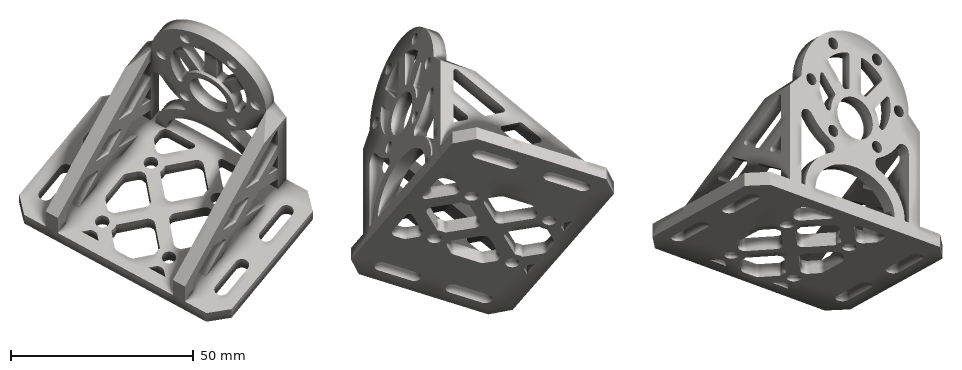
import cadquery as cq
import math

width = 70.0
depth = 50.0
height = 56.0
thickness = 4.0

corner_chamfer = 5.0
slot_width = 4.0
slot_length = 14.0
slot_x = 29.0
slot_y = 11.0
base_hole_diameter = 4.0
base_hole_x = 11.0
base_hole_front_y = -15.0
base_hole_spacing_y = 24.0
base_boss_radius = 4.0
base_window_half_width = 15.0
base_corner_radius = 2.0
base_tip_radius = 1.0

flange_radius = 19.0
bolt_circle_radius = 15.5
bolt_hole_diameter = 3.5
bolt_count = 6
shaft_drop = 7.0
shaft_hole_diameter = 12.5
hub_radius = 8.5
ring_inner_radius = 12.5
ring_rim_radius = 18.55
spoke_angle = 40.0
spoke_recess = 1.0
spoke_corner_radius = 0.7
crescent_tip_radius = 1.0
arch_half_width = 14.0
arch_rise = 11.0
arch_rib = 3.6
flange_corner_radius = 2.0

wall_front_height = 11.0
wall_lattice_z = 10.0
wall_corner_radius = 1.0

back_y = depth / 2
front_y = -back_y
flange_front_y = back_y - thickness
window_front_y = front_y + thickness
base_hole_back_y = base_hole_front_y + base_hole_spacing_y
wall_inner_x = flange_radius
wall_outer_x = wall_inner_x + thickness
flange_z = height - flange_radius
shaft_z = flange_z - shaft_drop
wall_slope = (flange_z - wall_front_height) / (depth - thickness)
wall_angle = math.atan(wall_slope)

near = 0.1


def lattice_bar(plane, center, angle):
    """Long bar of the common thickness through a point, tilted in the plane."""
    return (
        cq.Workplane(plane)
        .center(*center)
        .transformed(rotate=(0, 0, angle))
        .rect(4 * width, thickness)
        .extrude(width, both=True)
    )


def round_corners(body, direction, radius, wanted):
    """Fillet the edges along a direction whose midpoint passes the test."""
    edges = body.edges(direction)
    chosen = [edge for edge in edges.vals() if wanted(edge.Center())]
    if not chosen:
        return body
    return edges.newObject(chosen).fillet(radius)


def base_holes(radius):
    hole_ys = (base_hole_front_y, base_hole_back_y)
    centers = [(x, y) for x in (-base_hole_x, base_hole_x) for y in hole_ys]
    return cq.Workplane("XY").pushPoints(centers).circle(radius).extrude(thickness)


def is_base_tip(point):
    """Acute corner of a rear opening, next to the flange."""
    return point.y > flange_front_y - near and abs(point.x) < base_hole_x / 2


def is_base_round(point):
    """Any other corner, except the sharp ones of the small front triangles."""
    at_triangle = point.y < window_front_y + near and abs(point.x) > base_hole_x / 2
    return not at_triangle and not is_base_tip(point)


def base_openings():
    """Openings between diagonal bars that run through the holes and cross at X = 0."""
    window = cq.Workplane("XY").box(
        2 * base_window_half_width, 2 * flange_front_y, thickness, centered=(True, True, False)
    )
    crossing_y = (base_hole_front_y + base_hole_back_y) / 2
    bar_angle = math.degrees(math.atan2(base_hole_spacing_y / 2, base_hole_x))
    for row in (-1, 0, 1):
        crossing = (0, crossing_y + row * base_hole_spacing_y)
        for angle in (-bar_angle, bar_angle):
            window = window.cut(lattice_bar("XY", crossing, angle))

    openings = cq.Workplane("XY")
    for cell in window.solids().vals():
        if cell.BoundingBox().xlen < thickness:
            continue
        opening = cq.Workplane(obj=cell)
        opening = round_corners(opening, "|Z", base_corner_radius, is_base_round)
        opening = round_corners(opening, "|Z", base_tip_radius, is_base_tip)
        openings = openings.add(opening)
    return openings.combine().cut(base_holes(base_boss_radius))


def make_base():
    plate = cq.Workplane("XY").box(width, depth, thickness, centered=(True, True, False))
    plate = plate.edges("|Z").chamfer(corner_chamfer)
    slots = (
        cq.Workplane("XY")
        .rarray(2 * slot_x, 2 * slot_y, 2, 2)
        .slot2D(slot_length, slot_width, 90)
        .extrude(thickness)
    )
    return plate.cut(slots).cut(base_holes(base_hole_diameter / 2)).cut(base_openings())


def wall_blanks():
    """Two sloped walls, with a 45 degree chamfer from the flange to the outer faces."""
    side_profile = [
        (front_y, thickness),
        (back_y, thickness),
        (back_y, flange_z),
        (flange_front_y, flange_z),
        (front_y, wall_front_height),
    ]
    wall_section = [
        (wall_inner_x, thickness),
        (wall_outer_x, thickness),
        (wall_outer_x, flange_z - thickness),
        (wall_inner_x, flange_z),
    ]
    sloped = cq.Workplane("YZ").polyline(side_profile).close().extrude(wall_outer_x, both=True)
    wall = cq.Workplane("XZ").polyline(wall_section).close().extrude(depth, both=True)
    return sloped.intersect(wall.union(wall.mirror("YZ")))


def is_wall_round(point):
    """Corners above the base, but beside the flange only those of the top opening."""
    at_flange = point.y > flange_front_y - near
    in_top_opening = point.z > wall_lattice_z + wall_slope * flange_front_y
    return point.z > thickness + near and (in_top_opening or not at_flange)


def make_walls():
    """Walls opened up between the sloped rim, a parallel bar and both bars mirrored in Y."""
    half_bar_z = thickness / 2 / math.cos(wall_angle)
    rim_z = wall_front_height + wall_slope * back_y - half_bar_z
    under_rim = [
        (window_front_y, thickness),
        (flange_front_y, thickness),
        (flange_front_y, rim_z + wall_slope * flange_front_y),
        (window_front_y, rim_z + wall_slope * window_front_y),
    ]
    window = cq.Workplane("YZ").polyline(under_rim).close().extrude(wall_outer_x, both=True)
    tilt = math.degrees(wall_angle)
    for crossing_z in (rim_z, wall_lattice_z):
        for angle in (-tilt, tilt):
            window = window.cut(lattice_bar("YZ", (0, crossing_z), angle))

    walls = wall_blanks()
    for cell in window.solids().vals():
        opening = round_corners(cq.Workplane(obj=cell), "|X", wall_corner_radius, is_wall_round)
        walls = walls.cut(opening)
    return walls


def flange_plane(z):
    """Plane on the back of the flange; extruding by the thickness reaches its front."""
    return cq.Workplane("XZ", origin=(0, back_y, z))


def flange_disc(radius, z):
    return flange_plane(z).circle(radius).extrude(thickness)


def flange_ellipse(half_width, rise):
    return flange_plane(thickness).ellipse(half_width, rise).extrude(thickness)


def side_opening():
    """Opening on the +X side between ring, arch and wall, with two rounded ends."""
    round_x = wall_inner_x - flange_corner_radius
    round_z = flange_z - math.sqrt((ring_rim_radius + flange_corner_radius) ** 2 - round_x ** 2)
    outline = [
        (0, thickness),
        (0, flange_z),
        (round_x, round_z),
        (wall_inner_x, round_z),
        (wall_inner_x, thickness),
    ]
    opening = flange_plane(0).polyline(outline).close().extrude(thickness)
    opening = opening.cut(flange_disc(ring_rim_radius, flange_z))
    opening = opening.cut(flange_ellipse(arch_half_width + arch_rib, arch_rise + arch_rib))
    inner_tip = (0, back_y - thickness / 2, flange_z - ring_rim_radius)
    opening = opening.edges(cq.selectors.NearestToPointSelector(inner_tip))
    opening = opening.fillet(flange_corner_radius)
    upper_round = flange_disc(flange_corner_radius, round_z).translate((round_x, 0, 0))
    return opening.union(upper_round)


def spoke_bar(angle):
    return (
        flange_plane(shaft_z)
        .transformed(rotate=(0, 0, angle))
        .center(0, height / 2)
        .rect(thickness, height)
        .extrude(thickness)
    )


def cut_spokes(flange):
    """Open the crescent between ring and hub, leaving three spokes set back from the front."""
    crescent = flange_disc(ring_inner_radius, flange_z).cut(flange_disc(hub_radius, shaft_z))
    crescent = crescent.edges("|Y").fillet(crescent_tip_radius)
    window = crescent
    for angle in (-spoke_angle, 0, spoke_angle):
        window = window.cut(spoke_bar(angle))
    for cell in window.solids().vals():
        opening = round_corners(
            cq.Workplane(obj=cell), "|Y", spoke_corner_radius,
            lambda point: point.z > shaft_z + crescent_tip_radius,
        )
        flange = flange.cut(opening)
    return flange.cut(crescent.translate((0, spoke_recess - thickness, 0)))


def make_flange():
    outline = [
        (-flange_radius, thickness),
        (flange_radius, thickness),
        (flange_radius, flange_z),
        (-flange_radius, flange_z),
    ]
    flange = flange_plane(0).polyline(outline).close().extrude(thickness)
    flange = flange.union(flange_disc(flange_radius, flange_z))
    opening = side_opening()
    flange = flange.cut(opening).cut(opening.mirror("YZ"))
    flange = flange.cut(flange_ellipse(arch_half_width, arch_rise))
    bolt_holes = (
        flange_plane(flange_z)
        .polarArray(bolt_circle_radius, 0, 360, bolt_count)
        .circle(bolt_hole_diameter / 2)
        .extrude(thickness)
    )
    flange = flange.cut(bolt_holes).cut(flange_disc(shaft_hole_diameter / 2, shaft_z))
    return cut_spokes(flange)


result = make_base().union(make_walls()).union(make_flange())